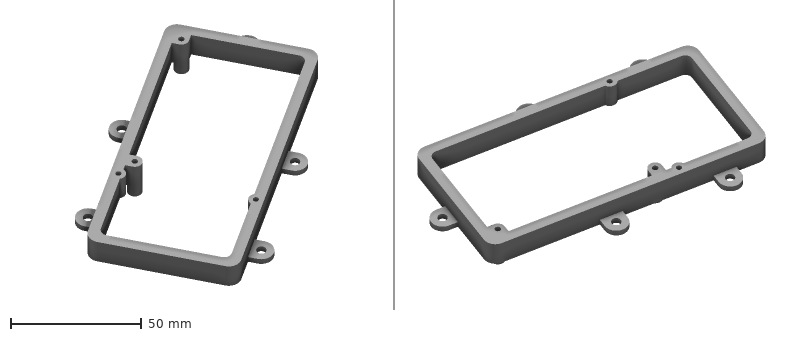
import cadquery as cq

frame_width = 61.0
frame_length = 123.0
frame_height = 10.4
rail_width = 4.5
outer_corner_radius = 5.0
inner_corner_radius = 3.0

tab_radius = 5.0
tab_reach = 9.0
tab_thickness = 2.5
tab_hole_diameter = 4.0
front_tab_y = -46.2
tab_pitch = 50.0

pin_diameter = 6.1
pin_length = 5.5
pin_hole_diameter = 2.5
pin_x = -23.0
front_pin_y = -19.7
pin_pitch = 69.2

boss_diameter = 6.0
boss_hole_diameter = 2.4
boss_x = 27.3
boss_y = -27.7

overall_length = frame_length + tab_reach
frame_back = overall_length / 2 - tab_reach
frame_center_y = frame_back - frame_length / 2
inner_left = rail_width - frame_width / 2
inner_back = frame_back - rail_width
rail_middle = rail_width / 2
side_tab_ys = [front_tab_y, front_tab_y + tab_pitch]
back_pin_y = front_pin_y + pin_pitch
pin_points = [(pin_x, front_pin_y), (pin_x, back_pin_y)]
boss_points = [(-boss_x, boss_y), (boss_x, boss_y)]


def rounded_block(width, length, corner_radius):
    """Block of frame height with rounded vertical edges."""
    return (
        cq.Workplane("XY")
        .center(0, frame_center_y)
        .rect(width, length)
        .extrude(frame_height)
        .edges("|Z")
        .fillet(corner_radius)
    )


def box_between(x_min, x_max, y_min, y_max, height):
    """Box standing on the frame's underside plane."""
    return cq.Workplane("XY").box(
        x_max - x_min, y_max - y_min, height, centered=False
    ).translate((x_min, y_min, 0))


def cylinders(points, diameter, bottom, top):
    """Vertical cylinders at the given XY points."""
    return (
        cq.Workplane("XY", origin=(0, 0, bottom))
        .pushPoints(points)
        .circle(diameter / 2)
        .extrude(top - bottom)
    )


def mounting_tab(edge_x, edge_y, angle):
    """Round-ended tab pointing along the angle from a point on the frame's outer edge."""
    hole_offset = tab_reach - tab_radius
    tab = box_between(-rail_middle, hole_offset, -tab_radius, tab_radius, tab_thickness)
    tab = tab.union(cylinders([(hole_offset, 0)], 2 * tab_radius, 0, tab_thickness))
    tab = tab.cut(cylinders([(hole_offset, 0)], tab_hole_diameter, 0, tab_thickness))
    return tab.rotate((0, 0, 0), (0, 0, 1), angle).translate((edge_x, edge_y, 0))


result = rounded_block(frame_width, frame_length, outer_corner_radius).cut(
    rounded_block(frame_width - 2 * rail_width, frame_length - 2 * rail_width, inner_corner_radius)
)

for tab_y in side_tab_ys:
    result = result.union(mounting_tab(-frame_width / 2, tab_y, 180))
    result = result.union(mounting_tab(frame_width / 2, tab_y, 0))
result = result.union(mounting_tab(0, frame_back, 90))

pin_radius = pin_diameter / 2
lug_left = inner_left - rail_middle
for _, pin_y in pin_points:
    result = result.union(
        box_between(lug_left, pin_x, pin_y - pin_radius, pin_y + pin_radius, frame_height)
    )
result = result.union(
    box_between(lug_left, pin_x + pin_radius, back_pin_y, inner_back + rail_middle, frame_height)
)

result = result.union(cylinders(pin_points, pin_diameter, -pin_length, frame_height))
result = result.union(cylinders(boss_points, boss_diameter, 0, frame_height))
result = result.cut(cylinders(pin_points, pin_hole_diameter, -pin_length, frame_height))
result = result.cut(cylinders(boss_points, boss_hole_diameter, 0, frame_height))